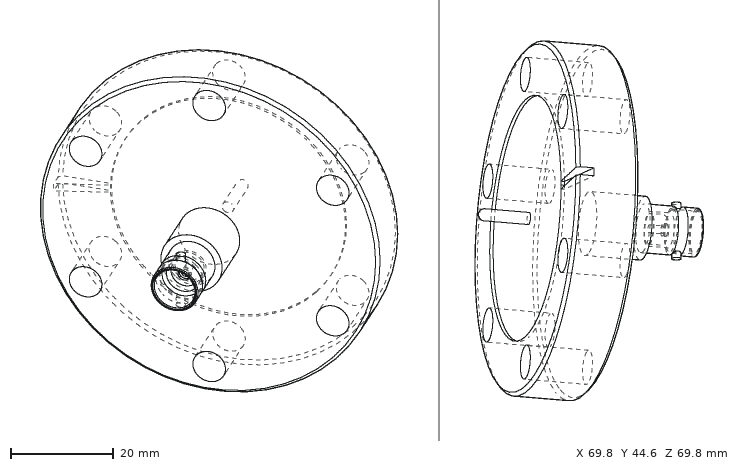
import cadquery as cq

flange_diameter = 69.85
flange_thickness = 12.7
flange_chamfer = 0.7

bolt_count = 6
bolt_hole_diameter = 6.7
bolt_circle_diameter = 58.7

recess_diameter = 48.35
recess_depth = 0.7

slot_width = 1.6
slot_depth_at_rim = 3.5

sleeve_diameter = 12.6
sleeve_length = 11.3
barrel_diameter = 9.65
barrel_end = 22.35
barrel_chamfer_length = 0.2
rim_diameter = 9.2

groove_position = 18.15
groove_width = 1.95
groove_depth = 0.4
lug_diameter = 1.9
lug_span = 11.3

mouth_diameter = 8.4
mouth_chamfer = 0.2
mouth_depth = 5.25
well_diameter = 6.85
taper_length = 0.4
socket_depth = 9.8

insulator_diameter = 6.0
insulator_front_radius = 1.2
insulator_length = 3.5
contact_diameter = 2.5
contact_recess = 0.7
contact_bore_diameter = 1.55
contact_bore_depth = 2.8

pin_diameter = 2.4
pin_length = 9.6

flange_back = flange_thickness
recess_floor = flange_back - recess_depth
barrel_tip = -barrel_end
taper_start = barrel_tip + mouth_depth
socket_floor = barrel_tip + socket_depth
insulator_front = socket_floor - insulator_length


def rod(diameter, y_start, y_end):
    """Cylinder on the Y axis between two positions."""
    return cq.Workplane("XZ", origin=(0, y_start, 0)).circle(diameter / 2).extrude(y_start - y_end)


def make_flange():
    disc = rod(flange_diameter, 0, flange_thickness).edges().chamfer(flange_chamfer)
    bolt_holes = (
        cq.Workplane("XZ")
        .polarArray(bolt_circle_diameter / 2, 90, 360, bolt_count)
        .circle(bolt_hole_diameter / 2)
        .extrude(-flange_thickness)
    )
    recess = rod(recess_diameter, recess_floor, flange_back)
    return disc.cut(bolt_holes).cut(recess).cut(make_leak_slot())


def make_leak_slot():
    rim_x = -flange_diameter / 2
    recess_x = -recess_diameter / 2
    return (
        cq.Workplane("XY")
        .polyline([
            (rim_x, flange_back),
            (rim_x, flange_back - slot_depth_at_rim),
            (recess_x, recess_floor),
            (recess_x, flange_back),
        ])
        .close()
        .extrude(slot_width / 2, both=True)
    )


def make_barrel():
    barrel_radius = barrel_diameter / 2
    groove_back = -groove_position + groove_width / 2
    groove_front = -groove_position - groove_width / 2
    barrel = (
        cq.Workplane("XY")
        .moveTo(0, 0)
        .lineTo(barrel_radius, 0)
        .lineTo(barrel_radius, groove_back)
        .threePointArc((barrel_radius - groove_depth, -groove_position), (barrel_radius, groove_front))
        .lineTo(barrel_radius, barrel_tip + barrel_chamfer_length)
        .lineTo(rim_diameter / 2, barrel_tip)
        .lineTo(0, barrel_tip)
        .close()
        .revolve(360, (0, 0, 0), (0, 1, 0))
    )
    lugs = (
        cq.Workplane("XY", origin=(0, -groove_position, 0))
        .circle(lug_diameter / 2)
        .extrude(lug_span / 2, both=True)
    )
    return barrel.union(lugs)


def make_socket():
    """Empty space of the socket around the insulator, contact recess included."""
    cavity = (
        cq.Workplane("XY")
        .moveTo(0, barrel_tip)
        .lineTo(mouth_diameter / 2 + mouth_chamfer, barrel_tip)
        .lineTo(mouth_diameter / 2, barrel_tip + mouth_chamfer)
        .lineTo(mouth_diameter / 2, taper_start)
        .lineTo(well_diameter / 2, taper_start + taper_length)
        .lineTo(well_diameter / 2, socket_floor)
        .lineTo(0, socket_floor)
        .close()
        .revolve(360, (0, 0, 0), (0, 1, 0))
    )
    insulator = rod(insulator_diameter, insulator_front, socket_floor)
    insulator = insulator.faces("<Y").edges().fillet(insulator_front_radius)
    contact_front = insulator_front + contact_recess
    contact_hole = rod(contact_diameter, insulator_front, contact_front)
    contact_bore = rod(contact_bore_diameter, contact_front, contact_front + contact_bore_depth)
    return cavity.cut(insulator).union(contact_hole).union(contact_bore)


def make_pin():
    tip_radius = pin_diameter / 2
    shaft_end = flange_back + pin_length - tip_radius
    tip = cq.Workplane("XY", origin=(0, shaft_end, 0)).sphere(tip_radius)
    return rod(pin_diameter, recess_floor, shaft_end).union(tip)


result = (
    make_flange()
    .union(rod(sleeve_diameter, -sleeve_length, 0))
    .union(make_barrel())
    .union(make_pin())
    .cut(make_socket())
)